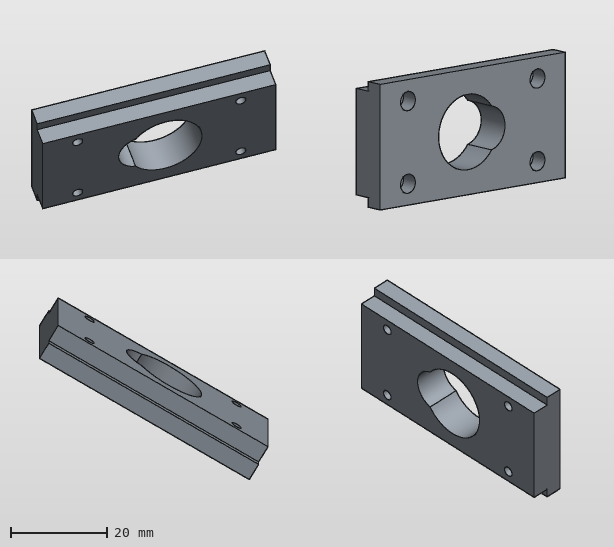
import cadquery as cq

thickness = 7.6
length = 50.8
height = 26.65

step_thickness = thickness / 2
flange_thickness = thickness - step_thickness
step_height = 22.6

main_bore_diameter = 16.0
main_bore_y = 1.3
side_bore_diameter = 9.6
side_bore_y = -4.05

screw_diameter = 2.2
head_diameter = 4.05
head_depth = flange_thickness
screw_spacing_y = 35.55
screw_spacing_z = 17.55


def slab(x_start, slab_thickness, slab_height):
    """Full-length block centred on Y and Z, starting at x_start."""
    return cq.Workplane("XY").box(
        slab_thickness, length, slab_height, centered=(False, True, True)
    ).translate((x_start, 0, 0))


def bore(diameter, depth, y, z):
    """Cylinder running in +X from the -X face."""
    return cq.Workplane("YZ").center(y, z).circle(diameter / 2).extrude(depth)


result = slab(0, flange_thickness, height).union(
    slab(flange_thickness, step_thickness, step_height)
)

result = result.cut(bore(main_bore_diameter, thickness, main_bore_y, 0))
result = result.cut(bore(side_bore_diameter, thickness, side_bore_y, 0))

for y in (-screw_spacing_y / 2, screw_spacing_y / 2):
    for z in (-screw_spacing_z / 2, screw_spacing_z / 2):
        result = result.cut(bore(screw_diameter, thickness, y, z))
        result = result.cut(bore(head_diameter, head_depth, y, z))